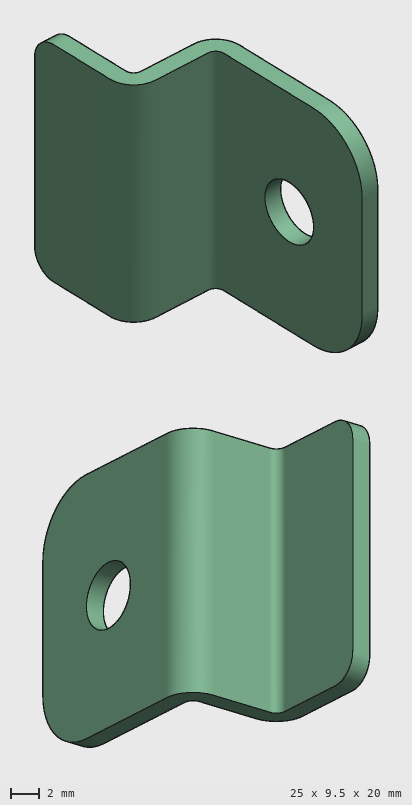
import cadquery as cq

length = 25.0
depth = 9.5
height = 20.0

thickness = 1.5
inner_bend_radius = 0.75
outer_bend_radius = inner_bend_radius + thickness
web_right = 10.0
web_left = web_right - thickness

front_corner_radius = 2.0
rear_corner_radius = 5.0
hole_diameter = 5.0
hole_x = 17.5


def bend_edge(body, x, y, radius):
    """Round the vertical edge of the body that stands at (x, y)."""
    edge = cq.selectors.NearestToPointSelector((x, y, height / 2))
    return body.edges("|Z").edges(edge).fillet(radius)


def bent_sheet():
    """Z-shaped sheet: front flange, web along Y, rear flange."""
    body = (
        cq.Workplane("XY")
        .moveTo(0, 0)
        .lineTo(web_right, 0)
        .lineTo(web_right, depth - thickness)
        .lineTo(length, depth - thickness)
        .lineTo(length, depth)
        .lineTo(web_left, depth)
        .lineTo(web_left, thickness)
        .lineTo(0, thickness)
        .close()
        .extrude(height)
    )
    body = bend_edge(body, web_right, 0, outer_bend_radius)
    body = bend_edge(body, web_left, thickness, inner_bend_radius)
    body = bend_edge(body, web_left, depth, outer_bend_radius)
    return bend_edge(body, web_right, depth - thickness, inner_bend_radius)


def mounting_hole():
    """Cutter for the round hole through the rear flange."""
    return (
        cq.Workplane("XZ", origin=(hole_x, depth, height / 2))
        .circle(hole_diameter / 2)
        .extrude(thickness)
    )


result = bent_sheet()
result = result.faces("<X").edges("|Y").fillet(front_corner_radius)
result = result.faces(">X").edges("|Y").fillet(rear_corner_radius)
result = result.cut(mounting_hole())